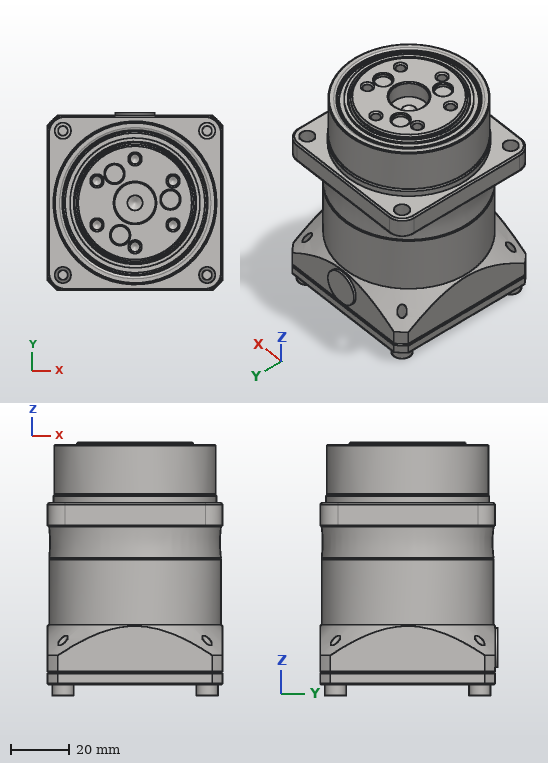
import cadquery as cq
import math

square_side = 60.0
corner_radius = 40.0
plate_bottom = 3.9
plate_top = 8.0
plate_bevel = 0.4
screw_offset = 24.7
screw_head_radius = 3.7
screw_head_bevel = 0.3
screw_bore_radius = 1.65
screw_bore_floor = 14.1

barrel_radius = 29.5
barrel_top = 47.0
taper_base = 24.45
seam_bevel = 0.35
waist_radius = 29.15
flange_bottom = 57.9
flange_top = 66.2
flange_bevel = 0.6
flange_corner_radius = 6.0
flange_hole_radius = 2.8

collar_radius = 28.0
collar_top = 69.0
collar_bevel = 0.5
pilot_radius = 27.75
pilot_top = 86.0
pilot_bevel = 0.35

rim_inner_radius = 25.9
rim_rounding = 1.1
rim_rounding_end = 25.0
groove_outer_radius = 24.5
groove_depth = 1.1
ledge_radius = 23.9
ledge_depth = 0.8
lip_outer_radius = 22.3
lip_inner_radius = 21.05

disc_top = 87.0
disc_thickness = 12.2
disc_radius = 20.6
disc_neck_radius = 20.0
disc_bevel = 0.6
shoulder_top = 85.8
bore_radius = 7.0
bore_depth = 6.6
hole_bevel = 0.4
centre_drill_radius = 2.6
centre_drill_depth = 1.6
tapped_hole_count = 6
tapped_circle_radius = 15.05
tapped_first_angle = 30
tapped_hole_radius = 1.7
tapped_bevel = 0.6
tapped_hole_depth = 7.8
drill_tip_depth = 1.05
pin_hole_count = 3
pin_circle_radius = 12.2
pin_first_angle = 5.3
pin_hole_radius = 3.1
pin_hole_depth = 1.5

plug_radius = 6.8
plug_height = 16.5
plug_projection = 1.0

half_side = square_side / 2
disc_bottom = disc_top - disc_thickness
screw_places = [(x, y) for x in (-screw_offset, screw_offset) for y in (-screw_offset, screw_offset)]


def posts(places, radius, bottom, top):
    """Upright cylinders of one radius at the given (x, y) places."""
    return cq.Workplane("XY").workplane(offset=bottom).pushPoints(places).circle(radius).extrude(top - bottom)


def base_square(bottom, top):
    """Square prism with its four upright corners turned to a common radius."""
    prism = cq.Workplane("XY").workplane(offset=bottom).rect(square_side, square_side).extrude(top - bottom)
    return prism.intersect(posts([(0, 0)], corner_radius, bottom, top))


def turned(points):
    """Solid of revolution about Z from (radius, height) points."""
    return cq.Workplane("XZ").polyline(points).close().revolve(360, (0, 0, 0), (0, 1, 0))


def make_base():
    plate = base_square(plate_bottom, plate_top).faces("<Z or >Z").edges().chamfer(plate_bevel)
    body = base_square(plate_top, taper_base).faces("<Z").edges().chamfer(plate_bevel)
    drop = taper_base - plate_top
    taper = turned([
        (0, plate_top),
        (barrel_radius + drop, plate_top),
        (barrel_radius, taper_base),
        (0, taper_base),
    ])
    bores = posts(screw_places, screw_bore_radius, screw_bore_floor, taper_base)
    heads = posts(screw_places, screw_head_radius, 0, plate_bottom)
    heads = heads.faces("<Z").edges().chamfer(screw_head_bevel)
    return plate.union(body.intersect(taper).cut(bores)).union(heads)


def make_barrel():
    """Barrel and the slightly hollow waist, with a fine V groove at the seam between them."""
    groove_radius = barrel_radius - seam_bevel
    waist_bottom = barrel_top + seam_bevel
    outline = (
        cq.Workplane("XZ")
        .moveTo(0, taper_base)
        .lineTo(barrel_radius, taper_base)
        .lineTo(barrel_radius, barrel_top - seam_bevel)
        .lineTo(groove_radius, barrel_top)
        .lineTo(barrel_radius, waist_bottom)
        .threePointArc((waist_radius, (waist_bottom + flange_bottom) / 2), (barrel_radius, flange_bottom))
        .lineTo(0, flange_bottom)
        .close()
    )
    return outline.revolve(360, (0, 0, 0), (0, 1, 0))


def make_flange():
    flange = cq.Workplane("XY").workplane(offset=flange_bottom).rect(square_side, square_side)
    flange = flange.extrude(flange_top - flange_bottom).edges("|Z").fillet(flange_corner_radius)
    flange = flange.faces("<Z or >Z").edges().chamfer(flange_bevel)
    return flange.cut(posts(screw_places, flange_hole_radius, flange_bottom, flange_top))


def make_pilot():
    """Collar and pilot with the ringed top and the pocket that the output disc sits in."""
    ledge_floor = pilot_top - ledge_depth
    groove_floor = pilot_top - groove_depth
    rim_sweep = math.asin((rim_inner_radius - rim_rounding_end) / rim_rounding)

    def rim_point(angle):
        """Point on the rim's rounding, turned by angle from its level outer end."""
        drop = rim_rounding * (1 - math.cos(angle))
        return (rim_inner_radius - rim_rounding * math.sin(angle), pilot_top - drop)

    outline = (
        cq.Workplane("XZ")
        .moveTo(0, flange_top)
        .lineTo(collar_radius, flange_top)
        .lineTo(collar_radius, collar_top - collar_bevel)
        .lineTo(collar_radius - collar_bevel, collar_top)
        .lineTo(pilot_radius - pilot_bevel, collar_top)
        .lineTo(pilot_radius, collar_top + pilot_bevel)
        .lineTo(pilot_radius, pilot_top - pilot_bevel)
        .lineTo(pilot_radius - pilot_bevel, pilot_top)
        .lineTo(rim_inner_radius, pilot_top)
        .threePointArc(rim_point(rim_sweep / 2), rim_point(rim_sweep))
        .hLineTo(groove_outer_radius)
        .vLineTo(groove_floor)
        .lineTo(ledge_radius, groove_floor)
        .lineTo(ledge_radius, ledge_floor)
        .lineTo(lip_outer_radius, ledge_floor)
        .lineTo(lip_outer_radius, pilot_top)
        .lineTo(lip_inner_radius, pilot_top)
        .lineTo(lip_inner_radius, disc_bottom)
        .lineTo(0, disc_bottom)
        .close()
    )
    return outline.revolve(360, (0, 0, 0), (0, 1, 0))


def make_plug():
    start = cq.Workplane("XZ", origin=(0, half_side, plug_height))
    return start.circle(plug_radius).extrude(-plug_projection)


def make_housing():
    return make_base().union(make_barrel()).union(make_flange()).union(make_pilot()).union(make_plug())


def blind_hole(radius, depth, bevel):
    """Cutter for a flat-floored hole on the axis, beveled at the disc's top."""
    floor = disc_top - depth
    return turned([
        (0, floor),
        (radius, floor),
        (radius, disc_top - bevel),
        (radius + bevel, disc_top),
        (0, disc_top),
    ])


def drill_tip(radius, top, depth):
    """Cutter for the conical end of a hole whose straight part stops at height top."""
    return turned([(0, top - depth), (radius, top), (0, top)])


def cut_on_circle(part, cutter, count, circle_radius, first_angle):
    """Cut evenly spaced copies of a cutter round the axis."""
    for index in range(count):
        angle = math.radians(first_angle + index * 360 / count)
        place = (circle_radius * math.cos(angle), circle_radius * math.sin(angle), 0)
        part = part.cut(cutter.translate(place))
    return part


def make_output_disc():
    disc = turned([
        (0, disc_bottom),
        (disc_radius, disc_bottom),
        (disc_radius, shoulder_top - (disc_radius - disc_neck_radius)),
        (disc_neck_radius, shoulder_top),
        (disc_neck_radius, disc_top - disc_bevel),
        (disc_neck_radius - disc_bevel, disc_top),
        (0, disc_top),
    ])
    bore = blind_hole(bore_radius, bore_depth, hole_bevel)
    centre_drill = drill_tip(centre_drill_radius, disc_top - bore_depth, centre_drill_depth)
    disc = disc.cut(bore).cut(centre_drill)

    tapped_hole = blind_hole(tapped_hole_radius, tapped_hole_depth, tapped_bevel)
    tapped_tip = drill_tip(tapped_hole_radius, disc_top - tapped_hole_depth, drill_tip_depth)
    tapped_hole = tapped_hole.union(tapped_tip)
    disc = cut_on_circle(disc, tapped_hole, tapped_hole_count, tapped_circle_radius, tapped_first_angle)

    pin_hole = blind_hole(pin_hole_radius, pin_hole_depth, hole_bevel)
    return cut_on_circle(disc, pin_hole, pin_hole_count, pin_circle_radius, pin_first_angle)


housing = make_housing()
output_disc = make_output_disc()
result = cq.Compound.makeCompound([housing.val(), output_disc.val()])